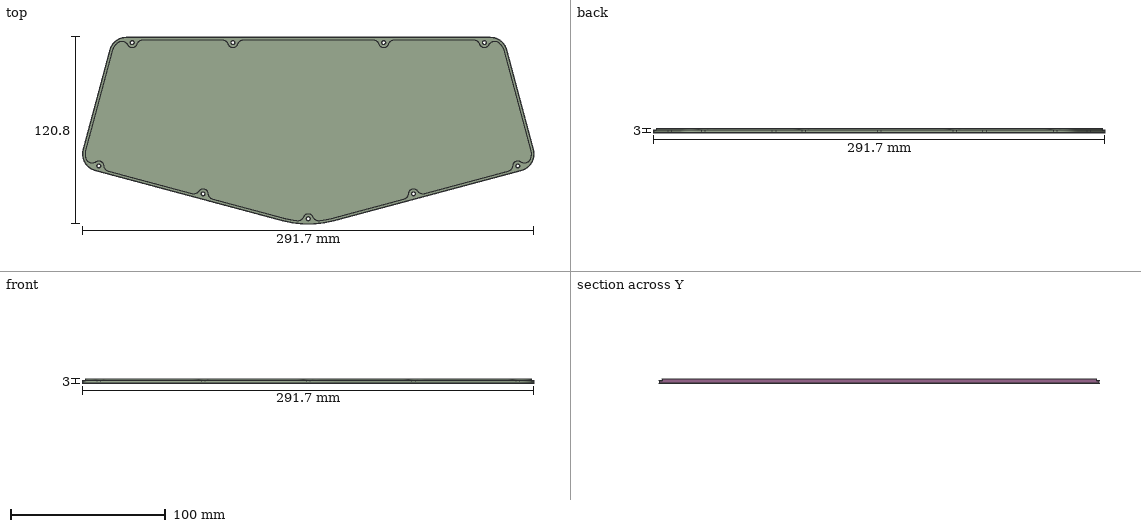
import cadquery as cq
import math

LENGTH = 291.7
WIDTH = 120.8
THICKNESS = 3.0

SLOPE = math.radians(15)
CORNER_RADIUS = 11.0
APEX_RADIUS = 64.2

BASE_THICKNESS = 1.8
PANEL_HEIGHT = THICKNESS - BASE_THICKNESS
LEDGE_WIDTH = 1.8
RELIEF_RADIUS = 3.2
RELIEF_BLEND_RADIUS = 8.5 / 2

HOLE_DIAMETER = 2.4
HOLE_EDGE_DISTANCE = 3.5
TOP_HOLE_OFFSETS = (48.7, 113.8)
LOWER_HOLE_OFFSETS = (68.0, 135.4)

TOP_Y = WIDTH / 2
BOTTOM_Y = -WIDTH / 2

APEX_Y = BOTTOM_Y - APEX_RADIUS * (1 / math.cos(SLOPE) - 1)
SIDE_ROUNDING_LOSS = CORNER_RADIUS * (math.cos(SLOPE) + math.sin(SLOPE) - 1)
SIDE_CORNER_X = LENGTH / 2 + SIDE_ROUNDING_LOSS
SIDE_CORNER_Y = APEX_Y + SIDE_CORNER_X * math.tan(SLOPE)
TOP_CORNER_X = SIDE_CORNER_X - (TOP_Y - SIDE_CORNER_Y) * math.tan(SLOPE)


def make_base():
    corners = [
        (-TOP_CORNER_X, TOP_Y),
        (TOP_CORNER_X, TOP_Y),
        (SIDE_CORNER_X, SIDE_CORNER_Y),
        (0, APEX_Y),
        (-SIDE_CORNER_X, SIDE_CORNER_Y),
    ]
    plate = cq.Workplane("XY").polyline(corners).close().extrude(BASE_THICKNESS)
    plate = plate.edges("|Z and (not <Y)").fillet(CORNER_RADIUS)
    return plate.edges("|Z and <Y").fillet(APEX_RADIUS)


def hole_positions():
    points = [(0, BOTTOM_Y + HOLE_EDGE_DISTANCE)]
    for side in (-1, 1):
        for x in TOP_HOLE_OFFSETS:
            points.append((side * x, TOP_Y - HOLE_EDGE_DISTANCE))
        for x in LOWER_HOLE_OFFSETS:
            edge_y = APEX_Y + x * math.tan(SLOPE)
            points.append((side * x, edge_y + HOLE_EDGE_DISTANCE / math.cos(SLOPE)))
    return points


def make_panel(base, holes):
    base_top = cq.Workplane("XY", origin=(0, 0, BASE_THICKNESS))
    base_rim = base.faces(">Z").wires().toPending()
    core = base_rim.offset2D(-LEDGE_WIDTH - RELIEF_BLEND_RADIUS).extrude(PANEL_HEIGHT, combine=False)
    reliefs = base_top.pushPoints(holes).circle(RELIEF_RADIUS + RELIEF_BLEND_RADIUS).extrude(PANEL_HEIGHT)
    core_rim = core.cut(reliefs).faces("<Z").wires().val()
    panel_rim = core_rim.offset2D(RELIEF_BLEND_RADIUS, "arc")[0]
    return base_top.add(panel_rim).toPending().extrude(PANEL_HEIGHT)


holes = hole_positions()
base = make_base()
panel = make_panel(base, holes)
drills = cq.Workplane("XY").pushPoints(holes).circle(HOLE_DIAMETER / 2).extrude(THICKNESS)
result = base.union(panel).cut(drills)